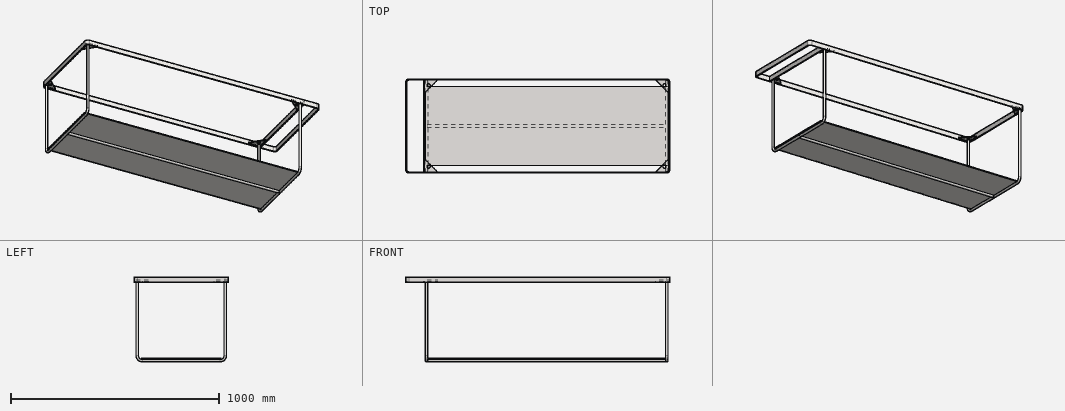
import cadquery as cq

rim_length = 1265.0
rim_width = 452.0
total_height = 406.0
bar_height = 25.0
bar_thickness = 6.0
rim_corner_radius = 16.0
cross_bar_offset = 85.0
rod_diameter = 13.0
rod_inset = 15.0
bend_radius = 24.0
gusset_leg = 62.0
gusset_thickness = 5.0
gusset_lift = 5.0
hole_diameter = 15.0
hole_inset = 25.0
hole_inset_y = 32.0
shelf_thickness = 5.0
shelf_width = 380.0

half_length = rim_length / 2
half_width = rim_width / 2
rim_bottom = total_height - bar_height
gusset_bottom = rim_bottom + gusset_lift
rod_radius = rod_diameter / 2
bay_left = cross_bar_offset - half_length
bay_right = half_length
rod_y = half_width - rod_inset
rod_left = bay_left + rod_inset
rod_right = bay_right - rod_inset
rod_span = rod_right - rod_left


def make_rim():
    """Flat bar bent into a rounded rectangle, standing on edge."""
    outer = (
        cq.Workplane("XY", origin=(0, 0, rim_bottom))
        .rect(rim_length, rim_width)
        .extrude(bar_height)
        .edges("|Z")
        .fillet(rim_corner_radius)
    )
    opening = (
        cq.Workplane("XY", origin=(0, 0, rim_bottom))
        .rect(rim_length - 2 * bar_thickness, rim_width - 2 * bar_thickness)
        .extrude(bar_height)
        .edges("|Z")
        .fillet(rim_corner_radius - bar_thickness)
    )
    return outer.cut(opening)


def make_cross_bar():
    """Flat bar across the rim at the left end of the shelf bay."""
    return cq.Workplane("XY").box(
        bar_thickness, rim_width - bar_thickness, bar_height, centered=(False, True, False)
    ).translate((bay_left, 0, rim_bottom))


def make_gusset(bay_x, x_sign, y_sign):
    """Triangular corner plate with a screw hole; x_sign and y_sign point out of the bay."""
    corner_x = bay_x - x_sign * bar_thickness
    corner_y = y_sign * (half_width - bar_thickness)
    plate = (
        cq.Workplane("XY", origin=(0, 0, gusset_bottom))
        .moveTo(corner_x, corner_y)
        .lineTo(corner_x - x_sign * gusset_leg, corner_y)
        .lineTo(corner_x, corner_y - y_sign * gusset_leg)
        .close()
        .extrude(gusset_thickness)
    )
    hole = (
        cq.Workplane("XY", origin=(0, 0, gusset_bottom))
        .center(bay_x - x_sign * hole_inset, y_sign * (half_width - hole_inset_y))
        .circle(hole_diameter / 2)
        .extrude(gusset_thickness)
    )
    return plate.cut(hole)


def make_hanger(x):
    """Round rod bent into a U, hanging from the gussets."""
    bend_z = rod_radius + bend_radius
    path = (
        cq.Workplane("YZ", origin=(x, 0, 0))
        .moveTo(-rod_y, gusset_bottom)
        .lineTo(-rod_y, bend_z)
        .radiusArc((-rod_y + bend_radius, rod_radius), -bend_radius)
        .lineTo(rod_y - bend_radius, rod_radius)
        .radiusArc((rod_y, bend_z), -bend_radius)
        .lineTo(rod_y, gusset_bottom)
    )
    return cq.Workplane("XY", origin=(x, -rod_y, gusset_bottom)).circle(rod_radius).sweep(path)


def make_tie_rod():
    """Straight round rod that joins the two hangers under the shelf."""
    return (
        cq.Workplane("YZ", origin=(rod_left, 0, rod_radius))
        .circle(rod_radius)
        .extrude(rod_span)
    )


def make_frame():
    """Rim, cross bar, gussets and rods welded into one solid."""
    frame = make_rim().union(make_cross_bar())
    for bay_x, x_sign in ((bay_left, -1), (bay_right, 1)):
        for y_sign in (-1, 1):
            frame = frame.union(make_gusset(bay_x, x_sign, y_sign))
    for x in (rod_left, rod_right):
        frame = frame.union(make_hanger(x))
    return frame.union(make_tie_rod())


def make_shelf():
    """Flat plate resting on the rods, flush with the outsides of the hangers."""
    return cq.Workplane("XY").box(
        rod_span + rod_diameter, shelf_width, shelf_thickness, centered=(True, True, False)
    ).translate(((rod_left + rod_right) / 2, 0, rod_diameter))


frame = make_frame()
shelf = make_shelf()

result = cq.Compound.makeCompound([frame.val(), shelf.val()])